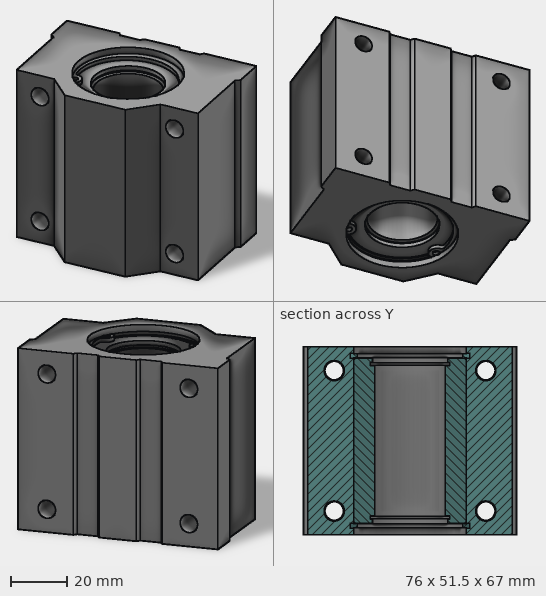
import cadquery as cq
import math

LENGTH = 76.0
HEIGHT = 67.0
BACK_Y = 26.0
FRONT_Y = -25.5
SHOULDER_Y = -16.1
BODY_HALF_WIDTH = 36.4
FLANGE_END_Y = 13.8
FLANGE_SLOPE = 1.4
NOSE_HALF_WIDTH = 12.15
NOSE_BASE_HALF_WIDTH = 21.35

GROOVE_X = 12.0
GROOVE_WIDTH = 9.9
GROOVE_FLOOR_WIDTH = 7.9
GROOVE_DEPTH = 1.3

FRONT_HOLE_DIAMETER = 7.0
REAR_HOLE_DIAMETER = 6.6
HOLE_X = 27.0
HOLE_Z = 25.0
HOLE_STEP_Y = (BACK_Y + SHOULDER_Y) / 2

BEARING_DIAMETER = 40.0
BEARING_LENGTH = 59.0
BEARING_CHAMFER = 0.45
SHAFT_DIAMETER = 25.0
RECESS_DIAMETER = 26.6
RECESS_DEPTH = 1.7
UNDERCUT_DIAMETER = 28.2
UNDERCUT_WIDTH = 1.0

RING_DIAMETER = 42.5
RING_INNER_DIAMETER = 37.5
RING_INNER_OFFSET = 1.2
RING_THICKNESS = 1.5
LUG_DIAMETER = 6.6
LUG_X = 17.8
LUG_Y = -8.5
LUG_FILLET = 1.15
LUG_HOLE_DIAMETER = 2.5
LUG_HOLE_X = 17.2
LUG_HOLE_Y = -8.35

UPPER_RING_Z = BEARING_LENGTH / 2
LOWER_RING_Z = -BEARING_LENGTH / 2 - RING_THICKNESS
RING_LEVELS = (LOWER_RING_Z, UPPER_RING_Z)


def disc(diameter, bottom_z, height):
    return cq.Workplane("XY", origin=(0, 0, bottom_z)).circle(diameter / 2).extrude(height)


def make_block():
    """Full-height block with a wide back flange and a tapered front nose."""
    right_side = [
        (LENGTH / 2, BACK_Y),
        (LENGTH / 2, FLANGE_END_Y),
        (BODY_HALF_WIDTH, FLANGE_END_Y - FLANGE_SLOPE),
        (BODY_HALF_WIDTH, SHOULDER_Y),
        (NOSE_BASE_HALF_WIDTH, SHOULDER_Y),
        (NOSE_HALF_WIDTH, FRONT_Y),
    ]
    left_side = [(-x, y) for x, y in reversed(right_side)]
    return (
        cq.Workplane("XY", origin=(0, 0, -HEIGHT / 2))
        .polyline(right_side + left_side)
        .close()
        .extrude(HEIGHT)
    )


def make_back_groove(center_x):
    outline = [
        (center_x - GROOVE_WIDTH / 2, BACK_Y),
        (center_x - GROOVE_FLOOR_WIDTH / 2, BACK_Y - GROOVE_DEPTH),
        (center_x + GROOVE_FLOOR_WIDTH / 2, BACK_Y - GROOVE_DEPTH),
        (center_x + GROOVE_WIDTH / 2, BACK_Y),
    ]
    return cq.Workplane("XY", origin=(0, 0, -HEIGHT / 2)).polyline(outline).close().extrude(HEIGHT)


def make_hole_section(diameter, rear_y, front_y):
    return (
        cq.Workplane("XZ", origin=(0, rear_y, 0))
        .rect(2 * HOLE_X, 2 * HOLE_Z, forConstruction=True)
        .vertices()
        .circle(diameter / 2)
        .extrude(rear_y - front_y)
    )


def make_housing():
    housing = make_block().cut(disc(BEARING_DIAMETER, -HEIGHT / 2, HEIGHT))
    for center_x in (-GROOVE_X, GROOVE_X):
        housing = housing.cut(make_back_groove(center_x))
    for bottom_z in RING_LEVELS:
        housing = housing.cut(disc(RING_DIAMETER, bottom_z, RING_THICKNESS))
    housing = housing.cut(make_hole_section(REAR_HOLE_DIAMETER, BACK_Y, HOLE_STEP_Y))
    return housing.cut(make_hole_section(FRONT_HOLE_DIAMETER, HOLE_STEP_Y, SHOULDER_Y))


def make_bearing():
    """Sleeve with chamfered outer rims and an undercut recess at each end of its bore."""
    bearing = disc(BEARING_DIAMETER, -BEARING_LENGTH / 2, BEARING_LENGTH)
    bearing = bearing.edges("%CIRCLE").chamfer(BEARING_CHAMFER)
    bearing = bearing.cut(disc(SHAFT_DIAMETER, -BEARING_LENGTH / 2, BEARING_LENGTH))
    recess_start = BEARING_LENGTH / 2 - RECESS_DEPTH
    for bottom_z in (-BEARING_LENGTH / 2, recess_start):
        bearing = bearing.cut(disc(RECESS_DIAMETER, bottom_z, RECESS_DEPTH))
    for bottom_z in (-recess_start, recess_start - UNDERCUT_WIDTH):
        bearing = bearing.cut(disc(UNDERCUT_DIAMETER, bottom_z, UNDERCUT_WIDTH))
    return bearing


def make_retaining_ring(bottom_z):
    """Open ring, thickest at the back, with a drilled round lug at each end."""
    plane = cq.Workplane("XY", origin=(0, 0, bottom_z))
    inner = (
        plane.center(0, -RING_INNER_OFFSET).circle(RING_INNER_DIAMETER / 2).extrude(RING_THICKNESS)
    )
    reach = RING_DIAMETER / math.hypot(LUG_X, LUG_Y)
    opening = (
        plane.moveTo(0, 0)
        .lineTo(reach * LUG_X, reach * LUG_Y)
        .lineTo(0, -2 * RING_DIAMETER)
        .lineTo(-reach * LUG_X, reach * LUG_Y)
        .close()
        .extrude(RING_THICKNESS)
    )
    lugs = (
        plane.pushPoints([(-LUG_X, LUG_Y), (LUG_X, LUG_Y)])
        .circle(LUG_DIAMETER / 2)
        .extrude(RING_THICKNESS)
        .intersect(disc(RING_DIAMETER, bottom_z, RING_THICKNESS))
    )
    ring = disc(RING_DIAMETER, bottom_z, RING_THICKNESS).cut(inner).cut(opening).union(lugs)

    inner_radius = RING_INNER_DIAMETER / 2
    lug_radius = LUG_DIAMETER / 2
    spacing_x = LUG_X
    spacing_y = LUG_Y + RING_INNER_OFFSET
    spacing = math.hypot(spacing_x, spacing_y)
    along = (inner_radius**2 - lug_radius**2 + spacing**2) / (2 * spacing)
    across = math.sqrt(inner_radius**2 - along**2)
    corner_x = (along * spacing_x - across * spacing_y) / spacing
    corner_y = (along * spacing_y + across * spacing_x) / spacing - RING_INNER_OFFSET
    middle_z = bottom_z + RING_THICKNESS / 2
    for side in (-1, 1):
        corner = cq.selectors.NearestToPointSelector((side * corner_x, corner_y, middle_z))
        ring = ring.edges("|Z").edges(corner).fillet(LUG_FILLET)

    lug_holes = (
        plane.pushPoints([(-LUG_HOLE_X, LUG_HOLE_Y), (LUG_HOLE_X, LUG_HOLE_Y)])
        .circle(LUG_HOLE_DIAMETER / 2)
        .extrude(RING_THICKNESS)
    )
    return ring.cut(lug_holes)


housing = make_housing()
bearing = make_bearing()
retaining_rings = [make_retaining_ring(bottom_z) for bottom_z in RING_LEVELS]

result = cq.Compound.makeCompound(
    [housing.solids().val(), bearing.solids().val(), *[ring.solids().val() for ring in retaining_rings]]
)